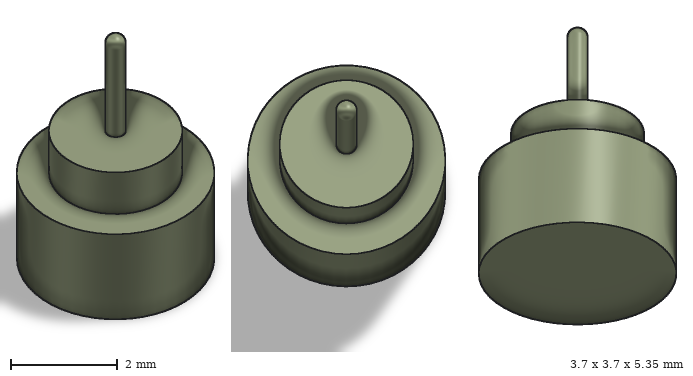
import cadquery as cq

total_height = 5.35
base_diameter = 3.7

base_height = 2.05
collar_diameter = 2.5
collar_height = 1.0
body_height = base_height + collar_height

insert_diameter = 1.955

pin_diameter = 0.39
pin_radius = pin_diameter / 2
pin_length = total_height - body_height


def cylinder(diameter, height, bottom):
    """Upright cylinder on the Z axis, starting at the given height."""
    return cq.Workplane("XY").workplane(offset=bottom).circle(diameter / 2).extrude(height)


base = cylinder(base_diameter, base_height, 0)
collar = cylinder(collar_diameter, collar_height, base_height)
insert = cylinder(insert_diameter, collar_height, base_height)
pin_shank = cylinder(pin_diameter, pin_length - pin_radius, body_height)
pin_tip = cq.Workplane("XY").sphere(pin_radius).translate((0, 0, total_height - pin_radius))
pin = pin_shank.union(pin_tip)

sleeve = base.union(collar.cut(insert))
result = sleeve.union(insert, clean=False).union(pin, clean=False)